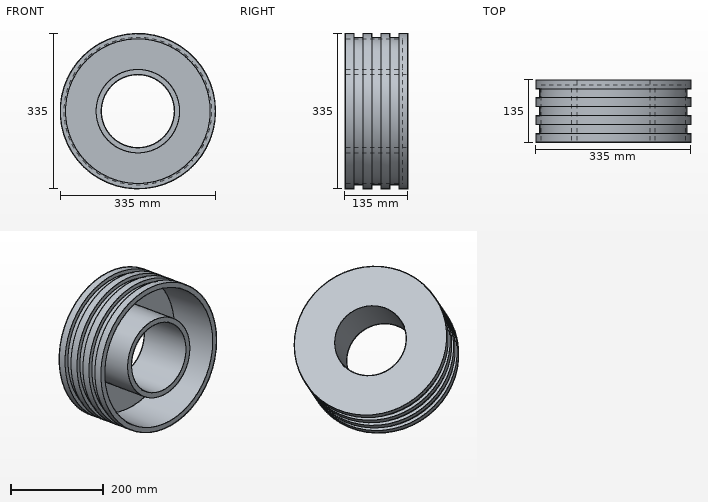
import cadquery as cq

outer_diameter = 335.0
width = 135.0

groove_diameter = 318.2
groove_count = 3
band_width = width / (2 * groove_count + 1)

bore_diameter = 157.0
hub_diameter = 180.0
rim_inner_diameter = 312.0
web_thickness = 11.5
pocket_depth = width - web_thickness


def ring(outer, inner, start, length):
    """Ring around the Y axis, extending from Y = start toward +Y."""
    return (
        cq.Workplane("XZ", origin=(0, start, 0))
        .circle(outer / 2)
        .circle(inner / 2)
        .extrude(-length)
    )


front_face = -width / 2
body = ring(outer_diameter, bore_diameter, front_face, width)

body = body.cut(ring(rim_inner_diameter, hub_diameter, front_face, pocket_depth))

for index in range(groove_count):
    groove_start = front_face + (2 * index + 1) * band_width
    body = body.cut(ring(outer_diameter, groove_diameter, groove_start, band_width))

result = body